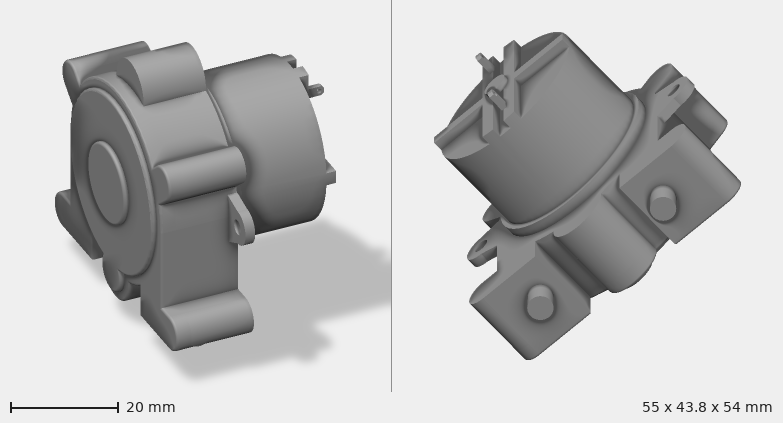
import cadquery as cq
import math


housing_depth = 12.75
cover_depth = 3.0
step_height = 1.0
edge_radius = 0.5
motor_length = 22.0
flange_depth = 2.1

body_radius = 20.0
lobe_radius = 5.95
lobe_offset = 19.6
foot_radius = 3.5
foot_bottom = -23.45
foot_center_x = 23.45
foot_center_z = foot_bottom + foot_radius
leg_inner_x = 10.5
ear_radius = 3.5
ear_center_x = 20.1
ear_center_z = 11.05
ear_slope = 40
ear_length = 6.6

tab_radius = 3.5
tab_tip_x = 27.5
tab_center_x = tab_tip_x - tab_radius
tab_hole_diameter = 3.0
tab_thickness = 2.0
tab_root_top = 4.55
tab_root_bottom = -5.45

tube_diameter = 4.9
tube_x = 15.3
tube_y = -6.8
tube_bottom = -28.45

step_radius = 18.0
step_lobe_radius = 4.0
hub_diameter = 16.0

motor_diameter = 32.0
flange_diameter = 34.4
bar_depth = 2.0
bar_width = 2.65
boss_diameter = 4.9
boss_height = 1.1

terminal_length = 4.0
terminal_width = 2.0
terminal_thickness = 1.05
terminal_chamfer = 0.5
terminal_hole_diameter = 1.0
terminal_hole_distance = 3.0
terminal_x = 1.5
terminal_z = 10.0


def plane_at(y):
    """XZ workplane at the given Y; a positive extrusion runs toward -Y."""
    return cq.Workplane("XZ", origin=(0, y, 0))


def cylinder(x, z, radius, y_back, depth):
    return plane_at(y_back).center(x, z).circle(radius).extrude(depth)


def leg(side, y_back, depth):
    """Straight leg beside the body, with a round-ended foot pointing outward."""
    column = plane_at(y_back).polyline([
        (side * body_radius, 0),
        (side * body_radius, foot_bottom),
        (side * leg_inner_x, foot_bottom),
        (side * leg_inner_x, 0),
    ]).close().extrude(depth)
    foot = plane_at(y_back).polyline([
        (side * leg_inner_x, foot_bottom),
        (side * foot_center_x, foot_bottom),
        (side * foot_center_x, foot_bottom + 2 * foot_radius),
        (side * leg_inner_x, foot_bottom + 2 * foot_radius),
    ]).close().extrude(depth)
    tip = cylinder(side * foot_center_x, foot_center_z, foot_radius, y_back, depth)
    return column.union(foot).union(tip)


def ear(side, y_back, depth):
    """Round-ended ear on the upper side of the body."""
    slope = math.radians(ear_slope)
    arm_x = side * (ear_center_x - ear_length / 2 * math.cos(slope))
    arm_z = ear_center_z - ear_length / 2 * math.sin(slope)
    arm = (
        plane_at(y_back)
        .center(arm_x, arm_z)
        .transformed(rotate=(0, 0, side * ear_slope))
        .rect(ear_length, 2 * ear_radius)
        .extrude(depth)
    )
    tip = cylinder(side * ear_center_x, ear_center_z, ear_radius, y_back, depth)
    return arm.union(tip)


def pump_slab(y_back, depth):
    """Slab with the outline that the housing and the cover share."""
    slab = cylinder(0, 0, body_radius, y_back, depth)
    slab = slab.union(cylinder(0, -lobe_offset, lobe_radius, y_back, depth))
    for side in (-1, 1):
        slab = slab.union(leg(side, y_back, depth))
        slab = slab.union(ear(side, y_back, depth))
    return slab.clean()


def mounting_tab(side):
    root_x = side * leg_inner_x
    arm = plane_at(0).polyline([
        (side * tab_center_x, tab_radius),
        (side * body_radius, tab_root_top),
        (root_x, tab_root_top),
        (root_x, tab_root_bottom),
        (side * body_radius, tab_root_bottom),
        (side * tab_center_x, -tab_radius),
    ]).close().extrude(tab_thickness)
    tip = cylinder(side * tab_center_x, 0, tab_radius, 0, tab_thickness)
    hole = cylinder(side * tab_center_x, 0, tab_hole_diameter / 2, 0, tab_thickness)
    return arm.union(tip).cut(hole)


def hose_tube(side):
    return (
        cq.Workplane("XY", origin=(side * tube_x, tube_y, tube_bottom))
        .circle(tube_diameter / 2)
        .extrude(foot_center_z - tube_bottom)
    )


def make_housing():
    body = pump_slab(0, housing_depth)
    body = body.union(cylinder(0, lobe_offset, lobe_radius, 0, housing_depth))
    for side in (-1, 1):
        body = body.union(mounting_tab(side))
        body = body.union(hose_tube(side))
    return body


def make_cover():
    plate = pump_slab(-housing_depth, cover_depth)
    plate = plate.faces("<Y").edges().fillet(edge_radius)

    step_y = -housing_depth - cover_depth
    step = cylinder(0, 0, step_radius, step_y, step_height)
    step = step.union(cylinder(0, -lobe_offset, step_lobe_radius, step_y, step_height))
    step = step.faces("<Y").edges().fillet(edge_radius)

    hub = cylinder(0, 0, hub_diameter / 2, step_y - step_height, step_height)
    hub = hub.faces("<Y").edges().fillet(edge_radius)
    return plate.union(step).union(hub)


def make_motor():
    can_length = motor_length - bar_depth
    can = cylinder(0, 0, motor_diameter / 2, can_length, can_length)
    flange = cylinder(0, 0, flange_diameter / 2, flange_depth, flange_depth)

    bars = plane_at(motor_length).rect(motor_diameter, bar_width).extrude(bar_depth)
    for side in (-1, 1):
        upright = plane_at(motor_length).center(side * bar_width, 0).rect(bar_width, motor_diameter)
        bars = bars.union(upright.extrude(bar_depth))
    bars = bars.intersect(cylinder(0, 0, motor_diameter / 2, motor_length, bar_depth))

    boss = cylinder(0, 0, boss_diameter / 2, motor_length + boss_height, boss_height)
    return can.union(flange).union(bars).union(boss)


def make_terminal(side):
    """Flat solder lug with a chamfered tip and a wire hole."""
    blade = (
        cq.Workplane("XY")
        .box(terminal_thickness, terminal_length, terminal_width, centered=(True, False, True))
        .faces(">Y").edges("|X").chamfer(terminal_chamfer)
    )
    hole = (
        cq.Workplane("YZ", origin=(-terminal_thickness / 2, 0, 0))
        .center(terminal_hole_distance, 0)
        .circle(terminal_hole_diameter / 2)
        .extrude(terminal_thickness)
    )
    return blade.cut(hole).translate((side * terminal_x, motor_length, side * terminal_z))


housing = make_housing()
cover = make_cover()
motor = make_motor()
terminals = [make_terminal(side) for side in (-1, 1)]

result = cq.Compound.makeCompound([
    housing.val(),
    cover.val(),
    motor.val(),
    *[terminal.val() for terminal in terminals],
])